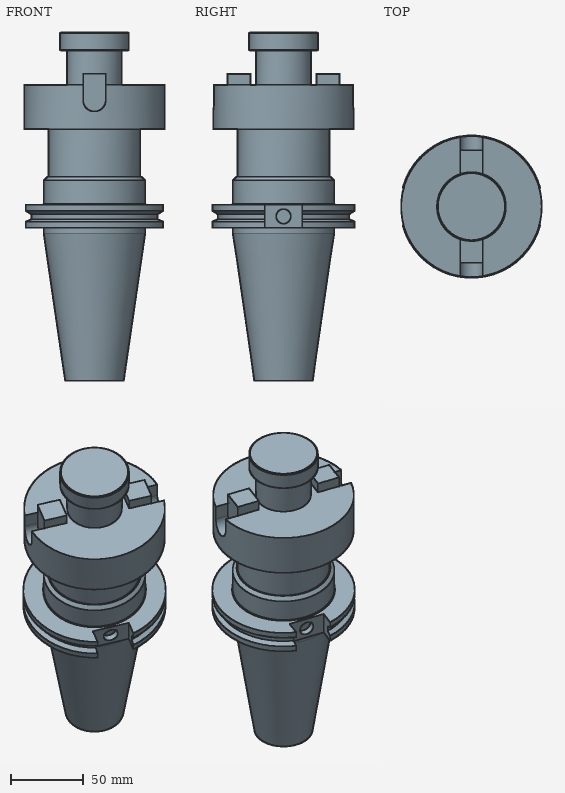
import cadquery as cq

taper_top = 101.6
flange_bottom = 105.2
flange_top = 121.3
collar_top = 140.5
disc_bottom = 173.0
disc_top = 203.5
pilot_top = 227.0
total_height = 239.7

collar_radius = 35.0
taper_ratio = 7 / 48
taper_end_radius = collar_radius - taper_top * taper_ratio
flange_diameter = 98.0
flange_radius = flange_diameter / 2
neck_radius = 31.6
disc_radius = 48.5
pilot_radius = 19.0
collar_chamfer = 2.6
collar_relief = 0.5

groove_lower_edge = 109.5
groove_floor_bottom = 111.2
groove_floor_top = 114.5
groove_upper_edge = 117.0
groove_radius = 45.3

notch_width = 26.0
notch_floor = 37.0
pocket_radius = 5.0
pocket_depth = 4.8
pocket_height = 113.1

lug_width = 15.5
lug_inner = 22.5
lug_outer = 38.5
lug_top = 211.2
slot_bottom = 185.3

head_radius = 23.7
head_chamfer = 0.7


def make_turned_body():
    """Taper, grooved flange, collar, neck, disc and pilot as one revolved profile."""
    profile = [
        (0, 0),
        (taper_end_radius, 0),
        (collar_radius, taper_top),
        (collar_radius, flange_bottom),
        (flange_radius, flange_bottom),
        (flange_radius, groove_lower_edge),
        (groove_radius, groove_floor_bottom),
        (groove_radius, groove_floor_top),
        (flange_radius, groove_upper_edge),
        (flange_radius, flange_top),
        (collar_radius + collar_relief, flange_top),
        (collar_radius, flange_top + collar_relief),
        (collar_radius, collar_top - collar_chamfer),
        (collar_radius - collar_chamfer, collar_top),
        (neck_radius, collar_top),
        (neck_radius, disc_bottom),
        (disc_radius, disc_bottom),
        (disc_radius, disc_top),
        (pilot_radius, disc_top),
        (pilot_radius, pilot_top),
        (0, pilot_top),
    ]
    return cq.Workplane("XZ").polyline(profile).close().revolve(360, (0, 0, 0), (0, 1, 0))


def make_notch_cutter():
    """Flange notch and its pocket on the +X side."""
    depth = flange_radius - notch_floor
    notch = cq.Workplane("XY").box(
        depth, notch_width, flange_top - flange_bottom, centered=(False, True, False)
    ).translate((notch_floor, 0, flange_bottom))
    pocket = (
        cq.Workplane("YZ", origin=(notch_floor - pocket_depth, 0, 0))
        .center(0, pocket_height)
        .circle(pocket_radius)
        .extrude(pocket_depth)
    )
    return notch.union(pocket)


def make_round_bottomed_bar(start, end, top):
    """Bar along +Y with a half-round underside, as wide as a drive lug."""
    half_width = lug_width / 2
    arc_center = slot_bottom + half_width
    return (
        cq.Workplane("XZ", origin=(0, start, 0))
        .moveTo(-half_width, top)
        .lineTo(-half_width, arc_center)
        .threePointArc((0, slot_bottom), (half_width, arc_center))
        .lineTo(half_width, top)
        .close()
        .extrude(start - end)
    )


def make_holder():
    body = make_turned_body()
    notch = make_notch_cutter()
    slot = make_round_bottomed_bar(lug_outer, disc_radius, disc_top)
    lug = make_round_bottomed_bar(lug_inner, lug_outer, lug_top)
    for angle in (0, 180):
        body = body.cut(notch.rotate((0, 0, 0), (0, 0, 1), angle))
        body = body.cut(slot.rotate((0, 0, 0), (0, 0, 1), angle))
        body = body.union(lug.rotate((0, 0, 0), (0, 0, 1), angle))
    return body


def make_screw_head():
    return (
        cq.Workplane("XY", origin=(0, 0, pilot_top))
        .circle(head_radius)
        .extrude(total_height - pilot_top)
        .edges()
        .chamfer(head_chamfer)
    )


holder = make_holder()
screw_head = make_screw_head()
result = cq.Compound.makeCompound([holder.val(), screw_head.val()])